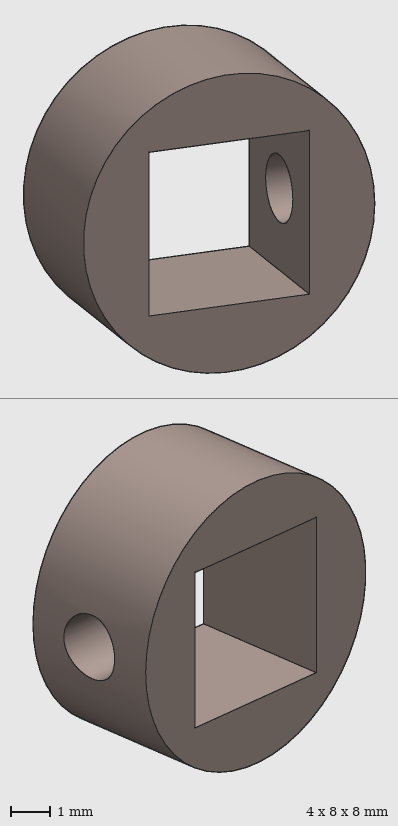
import cadquery as cq

outer_diameter = 8.0
width = 4.0
square_side = 4.4
side_hole_diameter = 1.8

outer_radius = outer_diameter / 2

collar = (
    cq.Workplane("YZ")
    .circle(outer_radius)
    .rect(square_side, square_side)
    .extrude(width / 2, both=True)
)

side_hole = (
    cq.Workplane("XZ")
    .circle(side_hole_diameter / 2)
    .extrude(-outer_radius)
)

result = collar.cut(side_hole)